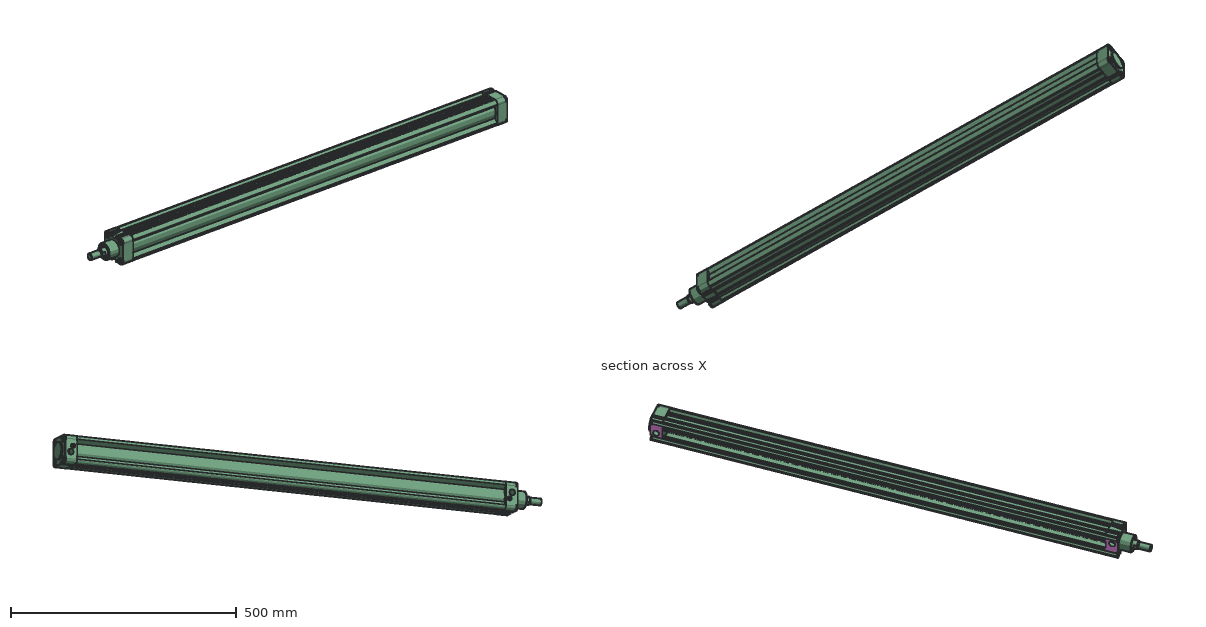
import cadquery as cq
import math


LENGTH = 1178.0
CAP_SIZE = 65.0
CAP_LENGTH = 30.0
CORNER_RADIUS = 10.0
CAP_EDGE_CHAMFER = 1.0
SPIGOT_RADIUS = 20.0
REAR_SPIGOT_LENGTH = 4.0
FRONT_BOSS_LENGTH = 28.0
BOSS_CHAMFER = 1.0

ROD_RADIUS = 10.0
NECK_LENGTH = 14.0
THREAD_RADIUS = 8.0
THREAD_LENGTH = 27.0
THREAD_CHAMFER = 1.0
TAPER_LENGTH = 4.0
WRENCH_WIDTH = 18.0
WRENCH_FLAT_LENGTH = 7.0

BARREL_RADIUS = 27.0
TUBE_INSET = 0.2
LOBE_RADIUS = 10.0
SIDE_VALLEY_Z = 14.0
GROOVE_DEPTH = 6.0
RAIL_WIDTH = 18.0
RAIL_HEIGHT = 5.0
SENSOR_SLOT_WIDTH = 14.0

TUBE_BORE_RADIUS = 25.0
CHAMBER_RADIUS = 13.0
CHAMBER_WALL = 10.0
SEAL_STEPS = ((18.0, 1.0), (15.0, 2.0), (13.0, 4.0))

BOLT_INSET = 9.2
BOLT_RADIUS = 4.0
BOLT_HEAD_RADIUS = 7.0
BOLT_HEAD_DEPTH = 4.0

CAP_SLOT_WIDTH = 7.0
RAMP_DROP = 6.0

PORT_RADIUS = 6.6
PORT_DEPTH = 24.0
PORT_SETBACK = 14.0
PORT_Z = 7.0
SCREW_SETBACK = 20.0
SCREW_STEPS = ((5.0, 2.0), (2.0, 5.0))

HALF_CAP = CAP_SIZE / 2
HALF_TUBE = HALF_CAP - TUBE_INSET
GROOVE_FLOOR = HALF_CAP - GROOVE_DEPTH
ROD_TIP = -LENGTH / 2
SHOULDER = ROD_TIP + THREAD_LENGTH
BOSS_FACE = SHOULDER + NECK_LENGTH
FRONT_FACE = BOSS_FACE + FRONT_BOSS_LENGTH
TUBE_START = FRONT_FACE + CAP_LENGTH
REAR_END = LENGTH / 2
REAR_FACE = REAR_END - REAR_SPIGOT_LENGTH
TUBE_END = REAR_FACE - CAP_LENGTH
SIDES = (1, -1)


def section_at(y):
    """Workplane at station y with sketch axes X and Z; a negative extrusion runs toward +Y."""
    return cq.Workplane("XZ", origin=(0, y, 0))


def cylinder(radius, start, end):
    return section_at(start).circle(radius).extrude(start - end)


def block(x_range, y_range, z_range):
    """Box between two values on each axis, given in either order."""
    ranges = [sorted(values) for values in (x_range, y_range, z_range)]
    sizes = [high - low for low, high in ranges]
    corner = tuple(low for low, high in ranges)
    return cq.Workplane("XY").box(*sizes, centered=False).translate(corner)


def make_cap(start, outer_face):
    cap = section_at(start).rect(CAP_SIZE, CAP_SIZE).extrude(-CAP_LENGTH)
    return cap.edges("|Y").fillet(CORNER_RADIUS).faces(outer_face).chamfer(CAP_EDGE_CHAMFER)


def make_lobe(side_x, side_z):
    """Corner lobe with 45 degree flanks, reaching back to the tube axis."""
    arc_start = HALF_TUBE - LOBE_RADIUS
    arc_middle = arc_start + LOBE_RADIUS * math.sqrt(0.5)
    barrel_x = math.sqrt(BARREL_RADIUS**2 - SIDE_VALLEY_Z**2)
    side_flank_x = barrel_x + arc_start - SIDE_VALLEY_Z
    groove_x = arc_start - (HALF_TUBE - GROOVE_FLOOR)

    def corner(x, z):
        return (side_x * x, side_z * z)

    return (
        section_at(TUBE_START)
        .lineTo(*corner(barrel_x, SIDE_VALLEY_Z))
        .lineTo(*corner(side_flank_x, arc_start))
        .lineTo(*corner(HALF_TUBE, arc_start))
        .threePointArc(corner(arc_middle, arc_middle), corner(arc_start, HALF_TUBE))
        .lineTo(*corner(groove_x, GROOVE_FLOOR))
        .lineTo(*corner(0, GROOVE_FLOOR))
        .close()
        .extrude(TUBE_START - TUBE_END)
    )


def make_tube():
    span = (TUBE_START, TUBE_END)
    flats = block((-CAP_SIZE, CAP_SIZE), span, (-GROOVE_FLOOR, GROOVE_FLOOR))
    tube = cylinder(BARREL_RADIUS, *span).intersect(flats)
    for side_x in SIDES:
        for side_z in SIDES:
            tube = tube.union(make_lobe(side_x, side_z))
    for side_z in SIDES:
        rail_top = GROOVE_FLOOR + RAIL_HEIGHT
        for side_x in SIDES:
            wall_x = (side_x * SENSOR_SLOT_WIDTH / 2, side_x * RAIL_WIDTH / 2)
            tube = tube.union(block(wall_x, span, (side_z * GROOVE_FLOOR, side_z * rail_top)))
    return tube


def cap_slot(side_x, side_z, y_range):
    """Slot through a cap beside the rail, in line with the groove of the tube."""
    inner_x = RAIL_WIDTH / 2
    x_range = (side_x * inner_x, side_x * (inner_x + CAP_SLOT_WIDTH))
    return block(x_range, y_range, (side_z * GROOVE_FLOOR, side_z * CAP_SIZE))


def front_ramp(side_z):
    """Wedge that deepens from the tube to the front face, as wide as the sensor slot."""
    return (
        cq.Workplane("YZ")
        .moveTo(TUBE_START, side_z * HALF_CAP)
        .lineTo(FRONT_FACE, side_z * HALF_CAP)
        .lineTo(FRONT_FACE, side_z * (HALF_CAP - RAMP_DROP))
        .close()
        .extrude(SENSOR_SLOT_WIDTH / 2, both=True)
    )


def cut_cap_slots(body):
    """The front cap has both slots and the ramp; the rear cap has only the -X slot."""
    for side_z in SIDES:
        for side_x in SIDES:
            body = body.cut(cap_slot(side_x, side_z, (FRONT_FACE, TUBE_START)))
        body = body.cut(cap_slot(-1, side_z, (TUBE_END, REAR_FACE)))
        body = body.cut(front_ramp(side_z))
    return body


def cut_bolt_holes(body):
    """Through holes along the whole housing, counterbored in both cap faces."""
    spacing = CAP_SIZE - 2 * BOLT_INSET
    for radius, start, end in (
        (BOLT_RADIUS, FRONT_FACE, REAR_FACE),
        (BOLT_HEAD_RADIUS, FRONT_FACE, FRONT_FACE + BOLT_HEAD_DEPTH),
        (BOLT_HEAD_RADIUS, REAR_FACE - BOLT_HEAD_DEPTH, REAR_FACE),
    ):
        centres = section_at(start).rarray(spacing, spacing, 2, 2)
        body = body.cut(centres.circle(radius).extrude(start - end))
    return body


def cut_bores(body):
    body = body.cut(cylinder(TUBE_BORE_RADIUS, TUBE_START, TUBE_END))
    body = body.cut(cylinder(CHAMBER_RADIUS, FRONT_FACE + CHAMBER_WALL, REAR_FACE - CHAMBER_WALL))
    body = body.cut(cylinder(ROD_RADIUS, BOSS_FACE, TUBE_START))
    for radius, depth in SEAL_STEPS:
        body = body.cut(cylinder(radius, BOSS_FACE, BOSS_FACE + depth))
    return body


def side_hole(radius, y, z, depth):
    """Hole going in from the -X side of a cap."""
    return cq.Workplane("YZ", origin=(-HALF_CAP, y, z)).circle(radius).extrude(depth)


def cut_ports(body):
    """Each cap has a port and a cushion screw; the rear pair is turned half a turn about X."""
    for face, inward in ((FRONT_FACE, 1), (REAR_FACE, -1)):
        port_y = face + inward * PORT_SETBACK
        screw_y = face + inward * SCREW_SETBACK
        body = body.cut(side_hole(PORT_RADIUS, port_y, inward * PORT_Z, PORT_DEPTH))
        for radius, depth in SCREW_STEPS:
            body = body.cut(side_hole(radius, screw_y, -inward * PORT_Z, depth))
    return body


def make_housing():
    boss = cylinder(SPIGOT_RADIUS, BOSS_FACE, FRONT_FACE).faces("<Y").chamfer(BOSS_CHAMFER)
    rear_spigot = cylinder(SPIGOT_RADIUS, REAR_FACE, REAR_END)
    body = make_tube()
    for part in (make_cap(FRONT_FACE, "<Y"), make_cap(TUBE_END, ">Y"), boss, rear_spigot):
        body = body.union(part)
    body = cut_cap_slots(body)
    body = cut_bolt_holes(body)
    body = cut_bores(body)
    return cut_ports(body)


def make_rod():
    """Rod with a tapered shoulder, two wrench flats and a plain cylinder for the thread."""
    shaft = cylinder(ROD_RADIUS, SHOULDER, TUBE_END)
    shaft = shaft.faces("<Y").chamfer(TAPER_LENGTH, ROD_RADIUS - THREAD_RADIUS)
    flat_start = SHOULDER + TAPER_LENGTH
    flat_span = (flat_start, flat_start + WRENCH_FLAT_LENGTH)
    for side_x in SIDES:
        flat_x = (side_x * WRENCH_WIDTH / 2, side_x * ROD_RADIUS)
        shaft = shaft.cut(block(flat_x, flat_span, (-ROD_RADIUS, ROD_RADIUS)))
    thread = cylinder(THREAD_RADIUS, ROD_TIP, SHOULDER).faces("<Y").chamfer(THREAD_CHAMFER)
    return shaft.union(thread)


housing = make_housing()
piston_rod = make_rod()

result = cq.Compound.makeCompound([housing.solids().val(), piston_rod.solids().val()])